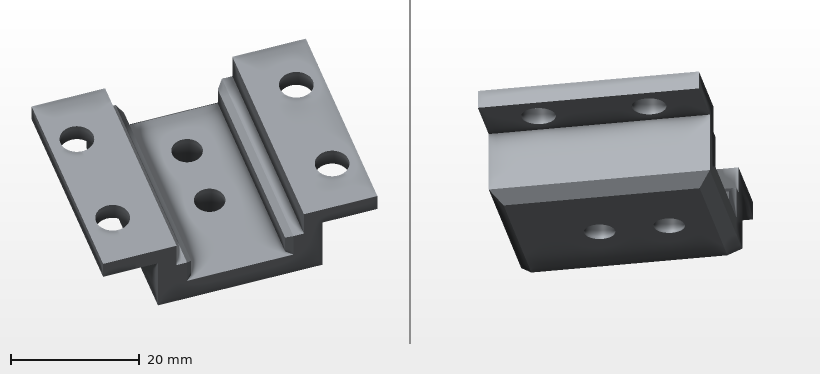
import cadquery as cq

length = 35.0
width = 45.0
height = 14.65

flange_thickness = 2.95
body_width = 27.0
base_chamfer = 2.0

upper_channel_width = 20.9
lower_channel_width = 15.4
ledge_height = 10.2
floor_height = 6.0
channel_chamfer = 1.05

flange_hole_diameter = 5.4
flange_hole_spacing_x = 17.5
flange_hole_spacing_y = 36.0
floor_hole_diameter = 4.9
floor_hole_positions = [(-8.5, 0), (2.5, 0)]


def channel(bottom_width, top_width, bottom, top):
    """Full-length channel cutter with a trapezoidal section."""
    section = [
        (-bottom_width / 2, bottom),
        (bottom_width / 2, bottom),
        (top_width / 2, top),
        (-top_width / 2, top),
    ]
    return cq.Workplane("YZ").polyline(section).close().extrude(length / 2, both=True)


def channel_mouth(side, floor_drop):
    """Cutter flaring the lower channel at one end: side is -1 or 1 along X."""
    def opening(x, half_width, bottom):
        return cq.Wire.makePolygon(
            [
                cq.Vector(x, -half_width, bottom),
                cq.Vector(x, half_width, bottom),
                cq.Vector(x, half_width, ledge_height),
                cq.Vector(x, -half_width, ledge_height),
            ],
            close=True,
        )

    half_width = lower_channel_width / 2
    outer_x = side * length / 2
    inner_x = side * (length / 2 - channel_chamfer)
    inner = opening(inner_x, half_width, floor_height)
    outer = opening(outer_x, half_width + channel_chamfer, floor_height - floor_drop)
    return cq.Workplane(cq.Solid.makeLoft([inner, outer], True))


flange_bottom = height - flange_thickness
body = cq.Workplane("XY").box(length, body_width, height, centered=(True, True, False))
body = body.faces("<Z").edges().chamfer(base_chamfer)
flanges = (
    cq.Workplane("XY")
    .workplane(offset=flange_bottom)
    .box(length, width, flange_thickness, centered=(True, True, False))
)
result = body.union(flanges)

result = result.cut(channel(upper_channel_width, upper_channel_width, ledge_height, height))
result = result.cut(channel(lower_channel_width, lower_channel_width, floor_height, ledge_height))
result = result.cut(
    channel(
        lower_channel_width,
        lower_channel_width + 2 * channel_chamfer,
        ledge_height - channel_chamfer,
        ledge_height,
    )
)

result = result.cut(channel_mouth(-1, channel_chamfer))
result = result.cut(channel_mouth(1, 0))

flange_holes = (
    cq.Workplane("XY")
    .rect(flange_hole_spacing_x, flange_hole_spacing_y, forConstruction=True)
    .vertices()
    .circle(flange_hole_diameter / 2)
    .extrude(height)
)
floor_holes = (
    cq.Workplane("XY")
    .pushPoints(floor_hole_positions)
    .circle(floor_hole_diameter / 2)
    .extrude(height)
)
result = result.cut(flange_holes).cut(floor_holes)